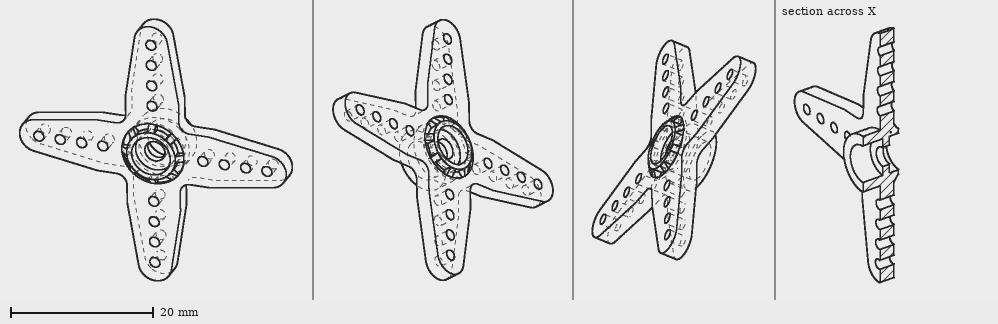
import cadquery as cq
import math

plate_thickness = 2.5
arm_count = 4
arm_angle = 360 / arm_count
horn_tilt = 1.0

arm_reach = 20.0
tip_radius = 2.5
root_half_width = 4.0
taper_start = 8.4
corner_fillet = 1.5
selection_margin = 0.1

hole_count = 4
hole_radius = 0.75
hole_pitch = 3.2
first_hole_distance = 7.5

boss_radius = 4.5
boss_height = 3.0
collar_radius = 3.65
collar_height = 0.8
bore_radius = 2.9
bore_floor_y = 0.8
shaft_hole_radius = 1.5
socket_radius = 2.9
socket_depth = 3.5
hub_back_y = plate_thickness + boss_height
socket_floor_y = hub_back_y - socket_depth

recess_radius = 4.65
recess_depth = 0.5
rib_count = 8
rib_width = 1.0
rib_rise = 0.75

FRONT = "XZ"


def cylinder(radius, start_y, end_y):
    """Cylinder about the Y axis between two Y positions."""
    return cq.Workplane(FRONT, origin=(0, end_y, 0)).circle(radius).extrude(end_y - start_y)


def turn(shape, angle):
    """Turn a shape counter-clockwise about the hub axis, as seen from the front."""
    return shape.rotate((0, 0, 0), (0, -1, 0), angle)


def arm():
    """One arm along +X: parallel root, straight taper and a round tip tangent to the taper."""
    tip_center = arm_reach - tip_radius
    taper_run = tip_center - taper_start
    corner_distance = math.hypot(taper_run, root_half_width)
    corner_angle = math.pi - math.atan2(root_half_width, taper_run)
    tangent_angle = corner_angle - math.acos(tip_radius / corner_distance)
    tangent_x = tip_center + tip_radius * math.cos(tangent_angle)
    tangent_z = tip_radius * math.sin(tangent_angle)
    return (
        cq.Workplane(FRONT, origin=(0, plate_thickness, 0))
        .moveTo(0, -root_half_width)
        .lineTo(taper_start, -root_half_width)
        .lineTo(tangent_x, -tangent_z)
        .threePointArc((arm_reach, 0), (tangent_x, tangent_z))
        .lineTo(taper_start, root_half_width)
        .lineTo(0, root_half_width)
        .close()
        .extrude(plate_thickness)
    )


def cross_plate():
    """The four arms joined, with rounded inner corners."""
    plate = arm()
    for index in range(1, arm_count):
        plate = plate.union(turn(arm(), index * arm_angle))
    box_reach = root_half_width + selection_margin
    inner_corners = cq.selectors.BoxSelector(
        (-box_reach, 0, -box_reach),
        (box_reach, plate_thickness, box_reach),
    )
    return plate.edges("|Y").edges(inner_corners).fillet(corner_fillet)


def arm_holes():
    """Screw holes through all arms."""
    distances = [first_hole_distance + index * hole_pitch for index in range(hole_count)]
    row = (
        cq.Workplane(FRONT, origin=(0, plate_thickness, 0))
        .pushPoints([(distance, 0) for distance in distances])
        .circle(hole_radius)
        .extrude(plate_thickness)
    )
    holes = row
    for index in range(1, arm_count):
        holes = holes.union(turn(row, index * arm_angle))
    return holes


def rib():
    """Rib along +X, sloping from the recess rim up to the collar."""
    profile = (
        cq.Workplane("XY", origin=(0, 0, -rib_width / 2))
        .moveTo(bore_radius, recess_depth)
        .lineTo(recess_radius, recess_depth)
        .lineTo(recess_radius, 0)
        .lineTo(collar_radius, -rib_rise)
        .lineTo(bore_radius, -rib_rise)
        .close()
    )
    return profile.extrude(rib_width)


def hub_bores():
    """Front bore, shaft hole and rear socket, all along the hub axis."""
    front_bore = cylinder(bore_radius, -collar_height, bore_floor_y)
    shaft_hole = cylinder(shaft_hole_radius, bore_floor_y, socket_floor_y)
    rear_socket = cylinder(socket_radius, socket_floor_y, hub_back_y)
    return front_bore.union(shaft_hole).union(rear_socket)


horn = cross_plate().cut(arm_holes()).cut(cylinder(recess_radius, 0, recess_depth))
for rib_index in range(rib_count):
    horn = horn.union(turn(rib(), rib_index * 360 / rib_count))
horn = horn.union(cylinder(collar_radius, -collar_height, plate_thickness))
horn = horn.union(cylinder(boss_radius, plate_thickness, hub_back_y))
horn = horn.cut(hub_bores())

result = turn(horn, horn_tilt)